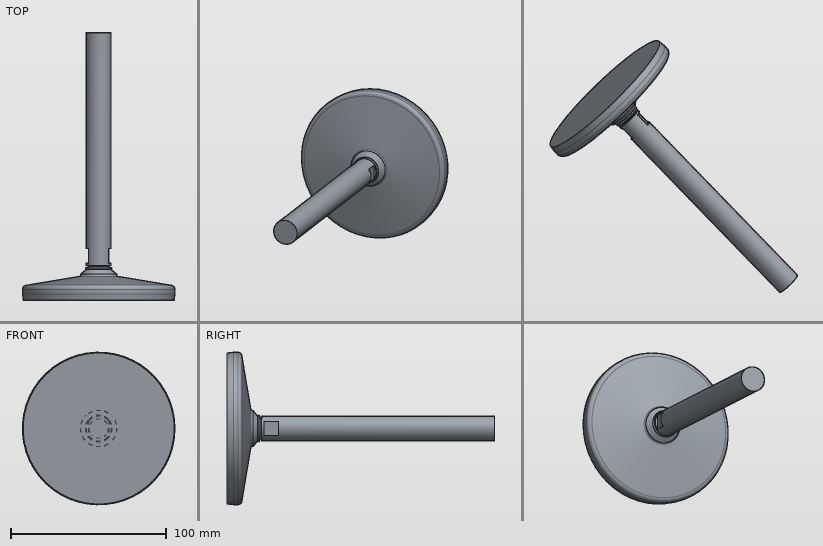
import cadquery as cq

TOTAL_LENGTH = 172.0
BASE_DIAMETER = 98.0
SPINDLE_DIAMETER = 16.0

BASE_RADIUS = BASE_DIAMETER / 2
FLOOR_INSET = 0.5
FLOOR_RADIUS = BASE_RADIUS - FLOOR_INSET
RIM_BOTTOM = 4.1
RIM_TOP = 7.0
SHOULDER_RADIUS = 2.8
HUB_BOTTOM = 15.5
HUB_BOTTOM_RADIUS = 12.4
HUB_BLEND_TOP = 16.9
HUB_BLEND_RADIUS = 11.7
BASE_TOP = 19.8
BASE_TOP_RADIUS = 8.0

SPINDLE_RADIUS = SPINDLE_DIAMETER / 2
SPINDLE_START = 22.4
NECK_RADIUS = 6.2
FLANGE_RADIUS = 8.6
FLANGE_RIM_HEIGHT = 20.8
FLANGE_TOP = 21.8
FLATS_WIDTH = 13.0
FLATS_START = 23.9
FLATS_LENGTH = 9.3


def make_base():
    """Round foot plate with a conical top and a blended central hub."""
    arc_offset = SHOULDER_RADIUS * 0.5 ** 0.5
    arc_center_radius = BASE_RADIUS - SHOULDER_RADIUS
    profile = (
        cq.Workplane("XY")
        .lineTo(FLOOR_RADIUS, 0)
        .lineTo(BASE_RADIUS, RIM_BOTTOM)
        .lineTo(BASE_RADIUS, RIM_TOP)
        .threePointArc(
            (arc_center_radius + arc_offset, RIM_TOP + arc_offset),
            (arc_center_radius, RIM_TOP + SHOULDER_RADIUS),
        )
        .lineTo(HUB_BOTTOM_RADIUS, HUB_BOTTOM)
        .tangentArcPoint((HUB_BLEND_RADIUS, HUB_BLEND_TOP), relative=False)
        .lineTo(BASE_TOP_RADIUS, BASE_TOP)
        .lineTo(0, BASE_TOP)
        .close()
    )
    return profile.revolve(360, (0, 0, 0), (0, 1, 0))


def make_spindle():
    """Round rod standing on the hub by a tapered flange and a thin neck, with two wrench flats."""
    spindle = (
        cq.Workplane("XY")
        .moveTo(0, BASE_TOP)
        .lineTo(BASE_TOP_RADIUS, BASE_TOP)
        .lineTo(FLANGE_RADIUS, FLANGE_RIM_HEIGHT)
        .lineTo(NECK_RADIUS, FLANGE_TOP)
        .lineTo(NECK_RADIUS, SPINDLE_START)
        .lineTo(SPINDLE_RADIUS, SPINDLE_START)
        .lineTo(SPINDLE_RADIUS, TOTAL_LENGTH)
        .lineTo(0, TOTAL_LENGTH)
        .close()
        .revolve(360, (0, 0, 0), (0, 1, 0))
    )
    flat_depth = SPINDLE_RADIUS - FLATS_WIDTH / 2
    flat_center_x = (SPINDLE_RADIUS + FLATS_WIDTH / 2) / 2
    flat_center_y = FLATS_START + FLATS_LENGTH / 2
    for side in (-1, 1):
        cutter = cq.Workplane("XY").box(flat_depth, FLATS_LENGTH, SPINDLE_DIAMETER)
        spindle = spindle.cut(cutter.translate((side * flat_center_x, flat_center_y, 0)))
    return spindle


base = make_base()
spindle = make_spindle()

result = cq.Compound.makeCompound([base.val(), spindle.val()])